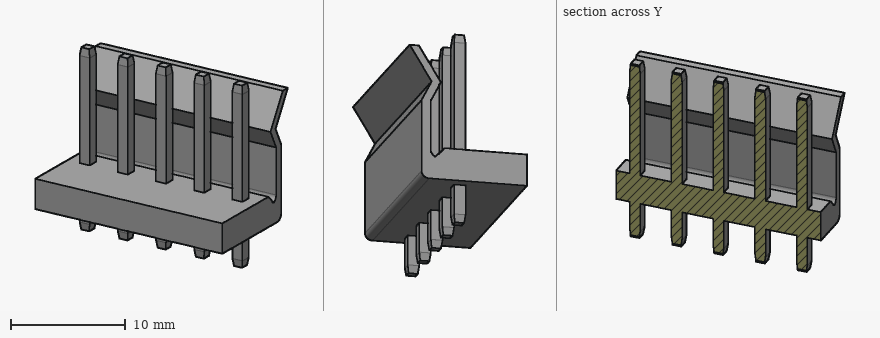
import cadquery as cq
import math

housing_length = 19.4
base_depth = 9.5
base_height = 2.85
rear_face = 3.78
rear_corner_radius = 0.65

wall_thickness = 0.83
wall_straight_height = 7.06
latch_bend_height = 8.83
latch_top_height = 12.03
latch_bend_reach = 0.91
latch_flare_overhang = 1.07

groove_depth = 0.83
cove_width = 0.4
cove_radius = 0.65

pin_count = 5
pin_pitch = 3.95
pin_width = 1.05
pin_tip_width = 0.83
pin_taper_length = 0.74
pin_bottom = -3.4
pin_top = 13.7

front_face = rear_face - base_depth
wall_inner_face = rear_face - wall_thickness


def make_housing():
    """Extrude the side profile (Y, Z) of the base and latch along X."""
    bend_rear = rear_face - latch_bend_reach
    flare_rear = rear_face + latch_flare_overhang
    groove_bottom_y = wall_inner_face - cove_width
    groove_bottom_z = base_height - groove_depth

    cove_angle = math.acos(1 - cove_width / cove_radius)
    cove_center_y = wall_inner_face - cove_radius
    cove_top_z = groove_bottom_z + cove_radius * math.sin(cove_angle)
    cove_middle = (
        cove_center_y + cove_radius * math.cos(cove_angle / 2),
        cove_top_z - cove_radius * math.sin(cove_angle / 2),
    )

    profile = (
        cq.Workplane("YZ")
        .moveTo(front_face, 0)
        .lineTo(rear_face, 0)
        .lineTo(rear_face, wall_straight_height)
        .lineTo(bend_rear, latch_bend_height)
        .lineTo(flare_rear, latch_top_height)
        .lineTo(flare_rear - wall_thickness, latch_top_height)
        .lineTo(bend_rear - wall_thickness, latch_bend_height)
        .lineTo(wall_inner_face, wall_straight_height)
        .lineTo(wall_inner_face, cove_top_z)
        .threePointArc(cove_middle, (groove_bottom_y, groove_bottom_z))
        .lineTo(groove_bottom_y - groove_depth, base_height)
        .lineTo(front_face, base_height)
        .close()
    )
    body = profile.extrude(housing_length / 2, both=True)
    rear_bottom_edge = body.edges("|X").edges("<Z").edges(">Y")
    return rear_bottom_edge.fillet(rear_corner_radius)


def make_pin_taper(start_z, end_z):
    """Square frustum narrowing from the pin shank at start_z to the tip at end_z."""
    return (
        cq.Workplane("XY", origin=(0, 0, start_z))
        .rect(pin_width, pin_width)
        .workplane(offset=end_z - start_z)
        .rect(pin_tip_width, pin_tip_width)
        .loft(ruled=True)
    )


def make_pin():
    """Straight shank with a taper at each end, centred on the Z axis."""
    shank_bottom = pin_bottom + pin_taper_length
    shank_top = pin_top - pin_taper_length
    shank = (
        cq.Workplane("XY", origin=(0, 0, shank_bottom))
        .rect(pin_width, pin_width)
        .extrude(shank_top - shank_bottom)
    )
    top_taper = make_pin_taper(shank_top, pin_top)
    bottom_taper = make_pin_taper(shank_bottom, pin_bottom)
    return shank.union(top_taper).union(bottom_taper)


result = make_housing()
pin = make_pin()
for index in range(pin_count):
    pin_x = (index - (pin_count - 1) / 2) * pin_pitch
    result = result.union(pin.translate((pin_x, 0, 0)))